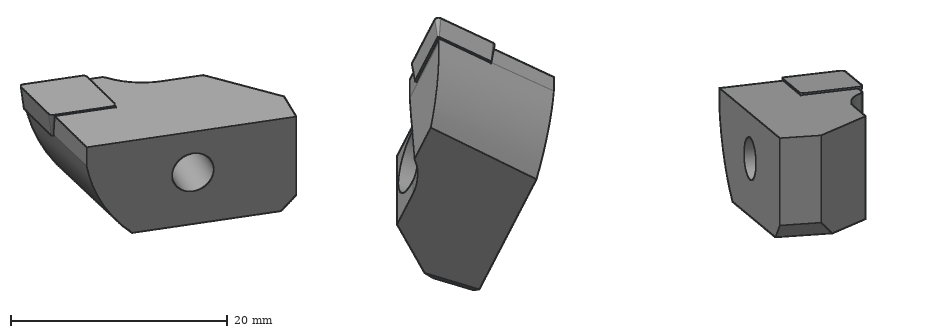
import cadquery as cq
import math

BACK_Y = 10.0
HOLDER_HEIGHT = 9.8
SEAT_X = -10.0
NOSE_X = -12.3
NOSE_BACK_Y = -5.05
BACK_CHAMFER = 6.0
BOTTOM_CHAMFER = 1.5
BLEND_RADIUS = 6.42
BLEND_ANGLE = 47
FRONT_RIGHT_Y = -10.27
FRONT_ANGLE = 10

CLEARANCE_ANGLE = 7
SIDE_RELIEF_TOP_Z = 7.27
FRONT_RELIEF_RADIUS = 13.75
FRONT_RELIEF_TOP_Z = 7.52
FRONT_RELIEF_BOTTOM_SETBACK = 3.99
FRONT_RELIEF_TILT = 1

HOLE_Z = 5.5
HOLE_DIAMETER = 4.0
RECESS_DIAMETER = 7.25
RECESS_DEPTH = 3.0

INSERT_LEFT_X = -12.8
INSERT_FRONT_Y = -12.93
INSERT_TOP_Z = 10.0
INSERT_WIDTH = 6.35
INSERT_THICKNESS = 2.38
INSERT_CORNER_RADIUS = 0.4

MARGIN = 4.58

front_slope = math.tan(math.radians(FRONT_ANGLE))
front_cosine = math.cos(math.radians(FRONT_ANGLE))
front_nose_y = FRONT_RIGHT_Y + NOSE_X * front_slope


def holder_blank():
    center_x = SEAT_X - BLEND_RADIUS

    def blend_point(angle):
        turn = math.radians(angle)
        return (center_x + BLEND_RADIUS * math.cos(turn), -BLEND_RADIUS * math.sin(turn))

    return (
        cq.Workplane("XY")
        .moveTo(0, FRONT_RIGHT_Y)
        .lineTo(0, BACK_Y)
        .lineTo(SEAT_X + BACK_CHAMFER, BACK_Y)
        .lineTo(SEAT_X, BACK_Y - BACK_CHAMFER)
        .lineTo(SEAT_X, 0)
        .threePointArc(blend_point(BLEND_ANGLE / 2), blend_point(BLEND_ANGLE))
        .lineTo(NOSE_X, NOSE_BACK_Y)
        .lineTo(NOSE_X, front_nose_y)
        .close()
        .extrude(HOLDER_HEIGHT)
        .faces(">Y").edges("<Z").chamfer(BOTTOM_CHAMFER)
    )


def side_relief():
    """Wedge that leans the nose side face inwards below the insert."""
    inset = SIDE_RELIEF_TOP_Z * math.tan(math.radians(CLEARANCE_ANGLE))
    return (
        cq.Workplane("XZ")
        .polyline([(NOSE_X, SIDE_RELIEF_TOP_Z), (NOSE_X + inset, 0), (NOSE_X, 0)])
        .close()
        .extrude(BACK_Y - front_nose_y, both=True)
    )


def front_relief():
    """Material in front of a cylinder nearly parallel to the front face."""
    tilt = math.radians(FRONT_RELIEF_TILT)
    front = math.radians(FRONT_ANGLE)
    along = cq.Vector(
        math.cos(tilt) * math.cos(front), math.cos(tilt) * math.sin(front), math.sin(tilt)
    )
    backward = cq.Vector(-math.sin(front), math.cos(front), 0)
    nose_corner = cq.Vector(NOSE_X, front_nose_y, 0)
    plane = cq.Plane(origin=nose_corner - along * MARGIN, xDir=backward, normal=along)

    start_z = MARGIN * math.sin(tilt)
    top = (0, FRONT_RELIEF_TOP_Z + start_z)
    bottom = (FRONT_RELIEF_BOTTOM_SETBACK, start_z)
    chord_x = bottom[0] - top[0]
    chord_z = top[1] - bottom[1]
    chord = math.hypot(chord_x, chord_z)
    center_offset = math.sqrt(FRONT_RELIEF_RADIUS**2 - (chord / 2) ** 2)
    center = (
        (top[0] + bottom[0]) / 2 + center_offset * chord_z / chord,
        (top[1] + bottom[1]) / 2 + center_offset * chord_x / chord,
    )
    length = -NOSE_X / front_cosine + 2 * MARGIN
    cylinder = cq.Workplane(plane).center(*center).circle(FRONT_RELIEF_RADIUS).extrude(length)
    return (
        cq.Workplane(plane)
        .moveTo(-MARGIN, top[1])
        .lineTo(bottom[0] + MARGIN, top[1])
        .lineTo(bottom[0] + MARGIN, -MARGIN)
        .lineTo(-MARGIN, -MARGIN)
        .close()
        .extrude(length)
        .cut(cylinder)
    )


def screw_hole():
    """Through hole along X with a flat-bottomed recess for the screw head."""
    hole = (
        cq.Workplane("YZ", origin=(NOSE_X, 0, HOLE_Z))
        .circle(HOLE_DIAMETER / 2)
        .extrude(-NOSE_X)
    )
    recess = (
        cq.Workplane("YZ", origin=(NOSE_X, 0, HOLE_Z))
        .circle(RECESS_DIAMETER / 2)
        .extrude(SEAT_X + RECESS_DEPTH - NOSE_X)
    )
    return hole.union(recess)


def insert_shape(corner_radius):
    """Rhombic insert tapering downwards; a zero radius leaves its corners sharp."""
    right_x = INSERT_LEFT_X + INSERT_WIDTH
    rise = INSERT_WIDTH * front_slope
    side = INSERT_WIDTH / front_cosine
    corner_drop = INSERT_CORNER_RADIUS * (1 / front_cosine + front_slope - 1)
    corner_y = INSERT_FRONT_Y - corner_drop
    outline = (
        cq.Sketch()
        .polygon([
            (INSERT_LEFT_X, corner_y),
            (right_x, corner_y + rise),
            (right_x, corner_y + rise + side),
            (INSERT_LEFT_X, corner_y + side),
            (INSERT_LEFT_X, corner_y),
        ])
    )
    if corner_radius > 0:
        outline = outline.vertices().fillet(corner_radius)
    return (
        cq.Workplane("XY", origin=(0, 0, INSERT_TOP_Z))
        .placeSketch(outline)
        .extrude(-INSERT_THICKNESS, taper=CLEARANCE_ANGLE)
    )


def make_holder():
    insert_pocket = insert_shape(0)
    return (
        holder_blank()
        .cut(side_relief())
        .cut(front_relief())
        .cut(screw_hole())
        .cut(insert_pocket)
    )


holder = make_holder()
cutting_insert = insert_shape(INSERT_CORNER_RADIUS)

result = cq.Compound.makeCompound([holder.val(), cutting_insert.val()])